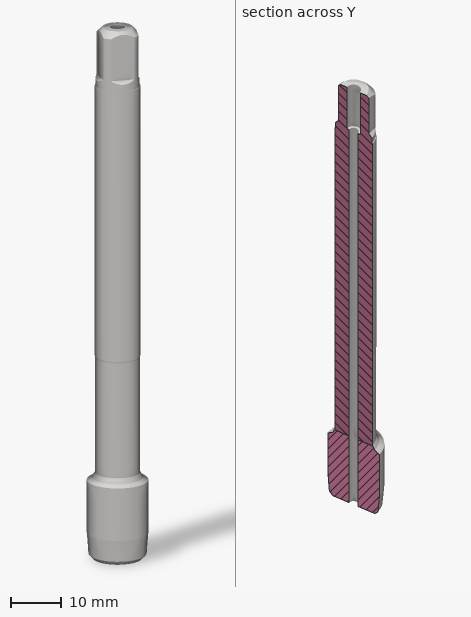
import cadquery as cq

total_length = 110.0
head_length = 17.8
relief_top_z = 41.6
shank_top_z = 97.9

head_diameter = 12.2
taper_height = 5.3
taper_end_diameter = 11.5
tip_chamfer_height = 0.9
tip_diameter = 9.9
shoulder_z = 16.2
collar_z = 16.8
collar_diameter = 10.0

shank_diameter = 9.0
relief_diameter = 8.9
step_height = 0.3

square_width = 7.3
square_corner_diameter = 8.7
square_bottom_z = 100.0
square_end_diameter = 6.0

bore_diameter = 2.0
inlet_diameter = 3.0
inlet_depth = 11.0


def turned(outline):
    """Solid of revolution about Z from (radius, height) points."""
    return cq.Workplane("XZ").polyline(outline).close().revolve(360, (0, 0, 0), (0, 1, 0))


def make_head():
    """Tapered working head with an axial coolant bore."""
    bore_radius = bore_diameter / 2
    return turned([
        (bore_radius, 0),
        (tip_diameter / 2, 0),
        (taper_end_diameter / 2, tip_chamfer_height),
        (head_diameter / 2, taper_height),
        (head_diameter / 2, shoulder_z),
        (collar_diameter / 2, collar_z),
        (relief_diameter / 2, head_length),
        (bore_radius, head_length),
    ])


def make_square_cutter():
    """Stock removed around the driving square, with 45 degree run-outs at its foot."""
    runout = (shank_diameter - square_width) / 2
    square_height = total_length - square_bottom_z
    stock = (
        cq.Workplane("XY", origin=(0, 0, square_bottom_z - runout))
        .rect(2 * shank_diameter, 2 * shank_diameter)
        .extrude(square_height + runout)
    )
    foot_width = square_width + 2 * runout
    foot = (
        cq.Workplane("XY", origin=(0, 0, square_bottom_z - runout))
        .rect(foot_width, foot_width)
        .workplane(offset=runout)
        .rect(square_width, square_width)
        .loft(ruled=True)
    )
    square = (
        cq.Workplane("XY", origin=(0, 0, square_bottom_z))
        .rect(square_width, square_width)
        .extrude(square_height)
    )
    return stock.cut(foot).cut(square)


def make_shank():
    """Stepped shank with a driving square and a coolant passage widened at the inlet."""
    relief_radius = relief_diameter / 2
    corner_radius = square_corner_diameter / 2
    shank_radius = shank_diameter / 2
    bore_radius = bore_diameter / 2
    inlet_radius = inlet_diameter / 2
    end_radius = square_end_diameter / 2
    end_chamfer = corner_radius - end_radius
    shank = turned([
        (bore_radius, head_length),
        (relief_radius, head_length),
        (relief_radius, relief_top_z),
        (shank_radius, relief_top_z + step_height),
        (shank_radius, shank_top_z),
        (corner_radius, shank_top_z),
        (corner_radius, total_length - end_chamfer),
        (end_radius, total_length),
        (inlet_radius, total_length),
        (inlet_radius, total_length - inlet_depth),
        (bore_radius, total_length - inlet_depth),
    ])
    return shank.cut(make_square_cutter())


head = make_head()
shank = make_shank()

result = cq.Compound.makeCompound([head.val(), shank.val()])